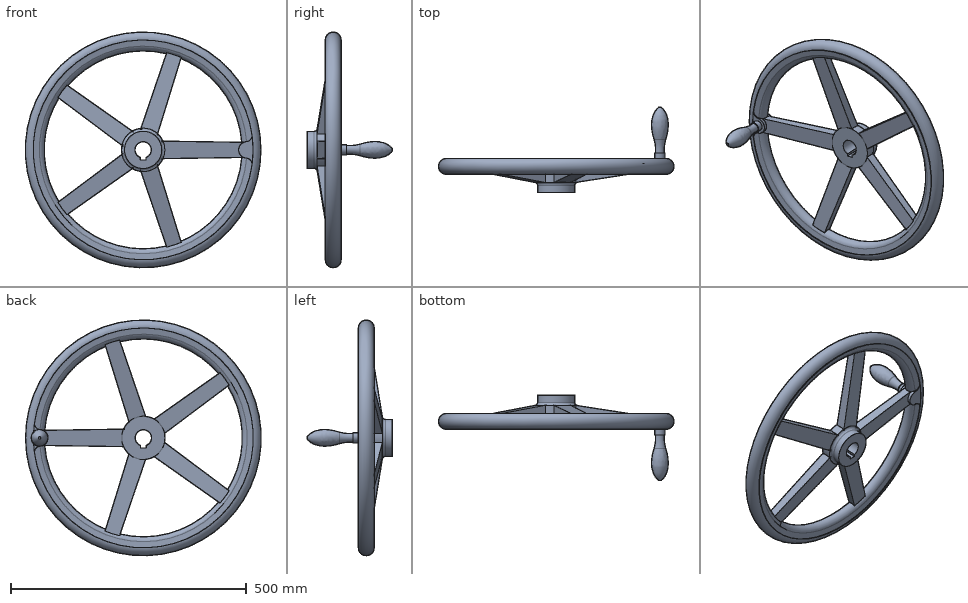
import cadquery as cq
import math

wheel_radius = 250.0
groove_radius = 466.0 / 2
grip_half_width = 17.0
ring_half_width = 15.5
web_radius = 220.0
web_half_width = 13.5
inner_radius = 209.5

hub_radius = 79.0 / 2
hub_front = -55.5
flange_radius = 46.0
flange_front = -34.0
hub_back = -12.0
hub_fillet = flange_radius - hub_radius
bore_diameter = 34.0
keyway_width = 11.5
keyway_depth = 21.0

spoke_count = 5
spoke_inner_radius = 30.0
spoke_outer_radius = 215.0
spoke_inner_width = 38.0
spoke_outer_width = 32.5
spoke_inner_front = -36.0
spoke_outer_front = -7.5
spoke_inner_thickness = 22.0
spoke_outer_thickness = 17.5

handle_offset = 220.0
boss_radius = 17.5
boss_half_width = 16.0
boss_blend_radius = 13.0
stub_radius = 22.0 / 2
stub_end = 28.5
neck_radius = 9.5
neck_middle = 40.0
grip_start = 57.0
grip_start_radius = 12.5
bulb_radius = 18.0
bulb_middle = 87.5
tip_radius = 2.5
bulb_shoulder_radius = 13.0
bulb_shoulder = 112.5
handle_end = 125.5


def revolve_about_y(profile):
    return profile.close().revolve(360, (0, 0, 0), (0, 1, 0))


def cylinder_along_y(radius, start, end):
    return cq.Workplane("XZ", origin=(0, start, 0)).circle(radius).extrude(start - end)


def make_rim():
    grip = revolve_about_y(
        cq.Workplane("XY")
        .moveTo(groove_radius, -grip_half_width)
        .threePointArc((wheel_radius, 0), (groove_radius, grip_half_width))
    )
    ring = revolve_about_y(
        cq.Workplane("XY")
        .moveTo(groove_radius, -ring_half_width)
        .lineTo(web_radius, -web_half_width)
        .threePointArc((inner_radius, 0), (web_radius, web_half_width))
        .lineTo(groove_radius, ring_half_width)
    )
    return grip.union(ring)


def make_spoke():
    """Spoke along +X, tapering in width and thickness and leaning back towards the rim."""
    side = (
        cq.Workplane("XY")
        .moveTo(spoke_inner_radius, spoke_inner_front)
        .lineTo(spoke_outer_radius, spoke_outer_front)
        .lineTo(spoke_outer_radius, spoke_outer_front + spoke_outer_thickness)
        .lineTo(spoke_inner_radius, spoke_inner_front + spoke_inner_thickness)
        .close()
        .extrude(spoke_inner_width, both=True)
    )
    face = (
        cq.Workplane("XZ")
        .moveTo(spoke_inner_radius, -spoke_inner_width / 2)
        .lineTo(spoke_outer_radius, -spoke_outer_width / 2)
        .lineTo(spoke_outer_radius, spoke_outer_width / 2)
        .lineTo(spoke_inner_radius, spoke_inner_width / 2)
        .close()
        .extrude(-hub_front, both=True)
    )
    return side.intersect(face)


def make_hub():
    fillet_start = flange_front - hub_fillet
    fillet_middle = hub_fillet * math.sqrt(0.5)
    return revolve_about_y(
        cq.Workplane("XY")
        .moveTo(0, hub_front)
        .lineTo(hub_radius, hub_front)
        .lineTo(hub_radius, fillet_start)
        .threePointArc(
            (flange_radius - fillet_middle, fillet_start + fillet_middle),
            (flange_radius, flange_front),
        )
        .lineTo(flange_radius, hub_back)
        .lineTo(0, hub_back)
    )


def make_boss():
    """Round boss whose sides flare with concave blends into the back of the grip."""
    to_boss = boss_radius + boss_blend_radius
    to_axis = groove_radius - boss_blend_radius
    blend_x = (to_axis**2 - to_boss**2 + handle_offset**2) / (2 * handle_offset)
    blend_z = math.sqrt(to_axis**2 - blend_x**2)
    boss_share = boss_radius / to_boss
    tangent_x = handle_offset + (blend_x - handle_offset) * boss_share
    tangent_z = blend_z * boss_share
    rim_share = groove_radius / to_axis
    rim_x = blend_x * rim_share
    rim_z = blend_z * rim_share
    middle_x = (tangent_x + rim_x) / 2 - blend_x
    middle_z = (tangent_z + rim_z) / 2 - blend_z
    stretch = boss_blend_radius / math.hypot(middle_x, middle_z)
    arc_x = blend_x + middle_x * stretch
    arc_z = blend_z + middle_z * stretch
    return (
        cq.Workplane("XZ")
        .moveTo(rim_x, -rim_z)
        .threePointArc((arc_x, -arc_z), (tangent_x, -tangent_z))
        .threePointArc((handle_offset - boss_radius, 0), (tangent_x, tangent_z))
        .threePointArc((arc_x, arc_z), (rim_x, rim_z))
        .threePointArc((groove_radius, 0), (rim_x, -rim_z))
        .close()
        .extrude(boss_half_width, both=True)
    )


def make_handle():
    handle = revolve_about_y(
        cq.Workplane("XY")
        .moveTo(0, 0)
        .lineTo(stub_radius, 0)
        .lineTo(stub_radius, stub_end)
        .lineTo(neck_radius, stub_end)
        .threePointArc((neck_radius, neck_middle), (grip_start_radius, grip_start))
        .spline(
            [(bulb_radius, bulb_middle), (bulb_shoulder_radius, bulb_shoulder), (tip_radius, handle_end)],
            includeCurrent=True,
        )
        .lineTo(0, handle_end)
    )
    return handle.translate((handle_offset, 0, 0))


wheel = make_rim().union(make_hub()).union(make_boss())
spoke = make_spoke()
for index in range(spoke_count):
    angle = index * 360 / spoke_count
    wheel = wheel.union(spoke.rotate((0, 0, 0), (0, 1, 0), angle))
wheel = wheel.union(make_handle())

bore = cylinder_along_y(bore_diameter / 2, hub_front, hub_back)
keyway = cq.Workplane("XY").box(
    keyway_width, hub_back - hub_front, keyway_depth, centered=(True, False, False)
).translate((0, hub_front, -keyway_depth))

result = wheel.cut(bore).cut(keyway)